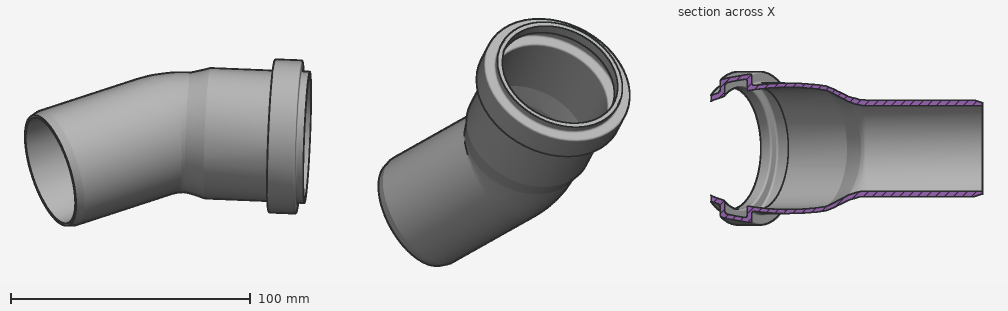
import cadquery as cq

pipe_radius = 25.1
pipe_bore_radius = 23.1
spigot_length = 48.6
spigot_chamfer_length = 3.5
spigot_chamfer_depth = 1.0

bend_angle = 30
bend_radius = 25.1

neck_length = 1.2
cone_end = 9.3
socket_radius = 27.3
socket_bore_radius = 25.39
collar_start = 35.9
collar_end = 47.6
collar_radius = 32.05
collar_wall = 1.9
lip_radius = 27.5
socket_length = 50.8
edge_round = 0.8

groove_start = collar_start + collar_wall
groove_end = collar_end - collar_wall
groove_radius = collar_radius - collar_wall


def revolve_about_y(half_profile):
    """Revolve (radius, y) points about the Y axis."""
    return cq.Workplane("XY").polyline(half_profile).close().revolve(360, (0, 0), (0, 1))


def round_circles(body, circles):
    """Round the circular edges given as (radius, y)."""
    tolerance = 0.01

    def is_chosen(edge):
        return any(
            abs(edge.radius() - radius) < tolerance and abs(edge.Center().y - y) < tolerance
            for radius, y in circles
        )

    return body.edges("%CIRCLE").filter(is_chosen).fillet(edge_round)


def spigot_and_bend(radius):
    """Solid straight pipe followed by the bend."""
    section = cq.Workplane("XZ").circle(radius)
    straight = section.extrude(-spigot_length)
    bend = (
        cq.Workplane("XZ", origin=(0, spigot_length, 0))
        .circle(radius)
        .revolve(bend_angle, (bend_radius, 0), (bend_radius, -1))
    )
    return straight.union(bend)


def socket_outside():
    body = revolve_about_y([
        (0, 0),
        (pipe_radius, 0),
        (pipe_radius, neck_length),
        (socket_radius, cone_end),
        (socket_radius, collar_start),
        (collar_radius, collar_start),
        (collar_radius, collar_end),
        (lip_radius, collar_end),
        (lip_radius, socket_length),
        (0, socket_length),
    ])
    return round_circles(body, [
        (socket_radius, collar_start),
        (collar_radius, collar_start),
        (collar_radius, collar_end),
        (lip_radius, collar_end),
    ])


def socket_inside():
    body = revolve_about_y([
        (0, 0),
        (pipe_bore_radius, 0),
        (pipe_bore_radius, neck_length),
        (socket_bore_radius, cone_end),
        (socket_bore_radius, groove_start),
        (groove_radius, groove_start),
        (groove_radius, groove_end),
        (socket_bore_radius, groove_end),
        (socket_bore_radius, socket_length),
        (0, socket_length),
    ])
    return round_circles(body, [
        (radius, y)
        for radius in (socket_bore_radius, groove_radius)
        for y in (groove_start, groove_end)
    ])


def place_after_bend(body):
    """Move a body built along +Y from the origin to the end of the bend."""
    pivot = (bend_radius, spigot_length, 0)
    pivot_axis_end = (bend_radius, spigot_length, 1)
    return body.translate((0, spigot_length, 0)).rotate(pivot, pivot_axis_end, -bend_angle)


tip_radius = pipe_radius - spigot_chamfer_depth
tip_waste = revolve_about_y([
    (tip_radius, 0),
    (pipe_radius, 0),
    (pipe_radius, spigot_chamfer_length),
])

outside = spigot_and_bend(pipe_radius).cut(tip_waste).union(place_after_bend(socket_outside()))
inside = spigot_and_bend(pipe_bore_radius).union(place_after_bend(socket_inside()))
result = outside.cut(inside)